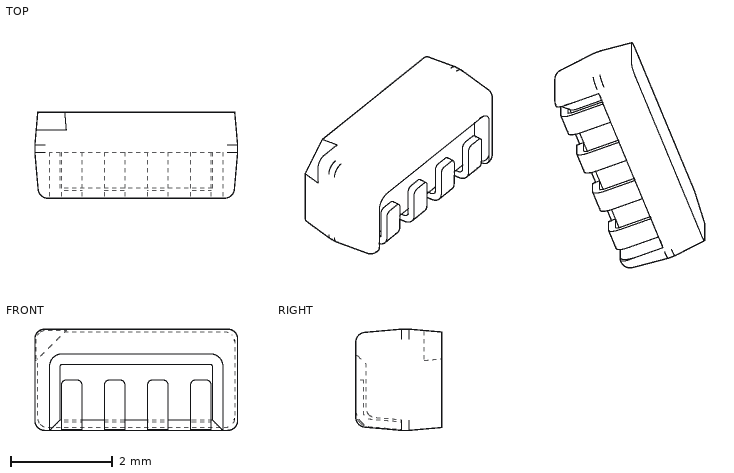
import cadquery as cq
import math

LENGTH = 4.0
DEPTH = 1.7
HEIGHT = 2.0
DRAFT = 5.0
FRONT_Y = -DEPTH / 2
BACK_Y = DEPTH / 2
BAND_FRONT_Y = 0.055
BAND_BACK_Y = 0.2
EDGE_RADIUS = 0.2

CORNER_CUT = 0.65
CORNER_CUT_DEPTH = 0.35

RECESS_DEPTH = 0.21
RECESS_WALL_ANGLE = 45.0
RECESS_HALF_WIDTH = 1.71
RECESS_TOP_Z = 0.51
RECESS_CORNER_RADIUS = 0.25
RECESS_BEND_RADIUS = 0.19
OVERCUT = 0.24

LEAD_COUNT = 4
LEAD_PITCH = 0.85
LEAD_WIDTH = 0.405
LEAD_THICKNESS = 0.15
LEAD_FRONT_INSET = 0.005
LEAD_UNDERSIDE_INSET = 0.015
LEAD_TIP_Z = -0.005
LEAD_TIP_RADIUS = 0.1
LEAD_BEND_RADIUS = 0.28
LEAD_EMBED = 0.04

SLOPE = math.tan(math.radians(DRAFT))


def underside_z(y, inset=0.0):
    """Height of the front sloping underside at y, moved inward by inset."""
    return -HEIGHT / 2 + (BAND_FRONT_Y - y) * SLOPE + inset / math.cos(math.radians(DRAFT))


def xz_plane(y):
    """Plane at y with local x along X, local y along Z and its normal along -Y."""
    return cq.Workplane("XZ", origin=(0, y, 0))


def make_body():
    band = xz_plane(BAND_BACK_Y).rect(LENGTH, HEIGHT).extrude(BAND_BACK_Y - BAND_FRONT_Y)
    front = xz_plane(BAND_FRONT_Y).rect(LENGTH, HEIGHT).extrude(BAND_FRONT_Y - FRONT_Y, taper=DRAFT)
    back = (
        cq.Workplane("ZX", origin=(0, BAND_BACK_Y, 0))
        .rect(HEIGHT, LENGTH)
        .extrude(BACK_Y - BAND_BACK_Y, taper=DRAFT)
    )
    band = band.edges("|Y").fillet(EDGE_RADIUS)
    front = front.edges("not >Y").fillet(EDGE_RADIUS)
    back = back.edges("not #Y").fillet(EDGE_RADIUS)
    return band.union(front).union(back)


def make_corner_cut():
    corner_x = -LENGTH / 2
    corner_z = HEIGHT / 2
    return (
        xz_plane(BACK_Y)
        .polyline([
            (corner_x, corner_z),
            (corner_x + CORNER_CUT, corner_z),
            (corner_x, corner_z - CORNER_CUT),
        ])
        .close()
        .extrude(CORNER_CUT_DEPTH)
    )


def make_recess():
    floor_y = FRONT_Y + RECESS_DEPTH
    wall_run = RECESS_DEPTH * math.tan(math.radians(RECESS_WALL_ANGLE))
    floor_half_width = RECESS_HALF_WIDTH - wall_run
    axis_y = floor_y + RECESS_BEND_RADIUS
    axis_z = underside_z(axis_y, RECESS_DEPTH + RECESS_BEND_RADIUS)

    pocket_height = RECESS_TOP_Z - axis_z + wall_run
    pocket = (
        xz_plane(FRONT_Y)
        .center(0, RECESS_TOP_Z - pocket_height / 2)
        .sketch()
        .rect(2 * RECESS_HALF_WIDTH, pocket_height)
        .vertices(">Y")
        .fillet(RECESS_CORNER_RADIUS)
        .finalize()
        .extrude(-RECESS_DEPTH, taper=RECESS_WALL_ANGLE)
    )
    above_axis = cq.Workplane("XY", origin=(0, 0, axis_z)).rect(2 * LENGTH, 2 * DEPTH).extrude(HEIGHT)
    pocket = pocket.intersect(above_axis)

    section = [
        (-floor_half_width, floor_y),
        (-RECESS_HALF_WIDTH, FRONT_Y),
        (-RECESS_HALF_WIDTH, FRONT_Y - OVERCUT),
        (RECESS_HALF_WIDTH, FRONT_Y - OVERCUT),
        (RECESS_HALF_WIDTH, FRONT_Y),
        (floor_half_width, floor_y),
    ]
    turn = 90 - DRAFT
    bend = (
        cq.Workplane("XY", origin=(0, 0, axis_z))
        .polyline(section)
        .close()
        .revolve(turn, (0, axis_y, 0), (1, axis_y, 0))
    )
    channel = (
        cq.Workplane("XY", origin=(0, 0, axis_z))
        .polyline(section)
        .close()
        .extrude(-DEPTH)
        .rotate((0, axis_y, axis_z), (1, axis_y, axis_z), turn)
    )
    before_band = xz_plane(BAND_FRONT_Y).rect(2 * LENGTH, 2 * HEIGHT).extrude(2 * DEPTH)
    return pocket.union(bend).union(channel.intersect(before_band))


def make_lead(x):
    front_y = FRONT_Y + LEAD_FRONT_INSET
    inner_y = front_y + LEAD_THICKNESS
    end_y = BAND_FRONT_Y + LEAD_EMBED
    inner_inset = LEAD_UNDERSIDE_INSET + LEAD_THICKNESS
    lead = (
        cq.Workplane("YZ", origin=(x - LEAD_WIDTH / 2, 0, 0))
        .polyline([
            (front_y, LEAD_TIP_Z),
            (front_y, underside_z(front_y, LEAD_UNDERSIDE_INSET)),
            (end_y, underside_z(end_y, LEAD_UNDERSIDE_INSET)),
            (end_y, underside_z(end_y, inner_inset)),
            (inner_y, underside_z(inner_y, inner_inset)),
            (inner_y, LEAD_TIP_Z),
        ])
        .close()
        .extrude(LEAD_WIDTH)
    )
    lead = lead.edges("|Y and >Z").fillet(LEAD_TIP_RADIUS)
    lead = lead.faces("<Y").edges("<Z").fillet(LEAD_BEND_RADIUS)
    inner_corner = cq.selectors.NearestToPointSelector((x, inner_y, underside_z(inner_y, inner_inset)))
    return lead.edges("|X").edges(inner_corner).fillet(LEAD_BEND_RADIUS - LEAD_THICKNESS)


result = make_body().cut(make_corner_cut()).cut(make_recess())
for index in range(LEAD_COUNT):
    result = result.union(make_lead((index - (LEAD_COUNT - 1) / 2) * LEAD_PITCH))